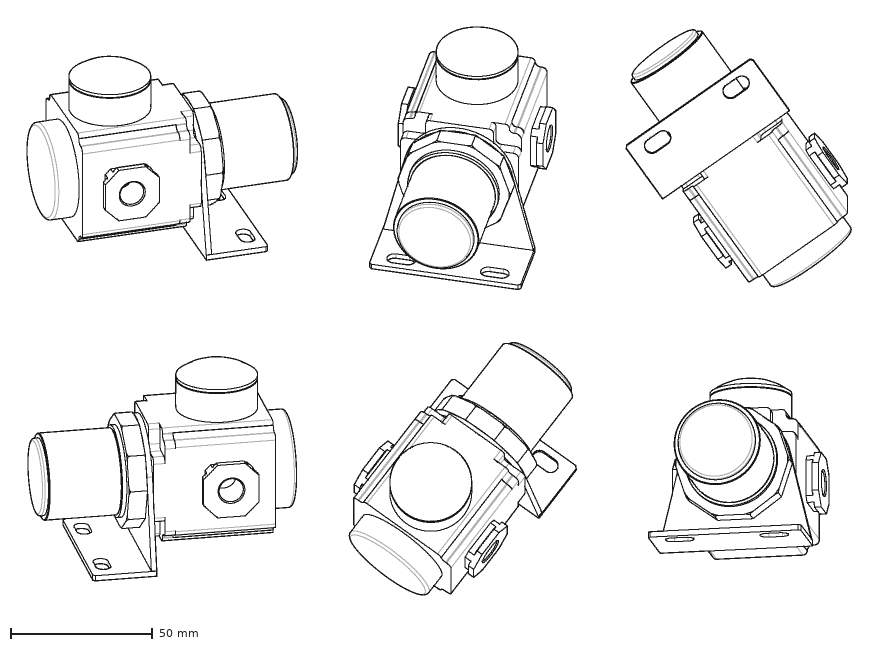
import cadquery as cq
import math


CAP_FRONT = -25.5
BODY_FRONT = -16.9
BONNET_FRONT = 19.2
STEP_FRONT = 23.0
PLATE_FRONT = 27.1
NUT_FRONT = 29.1
COLLAR_FRONT = 35.8
KNOB_FRONT = 37.3
BUTTON_FRONT = 63.5
BUTTON_BACK = 65.5

BODY_SIZE = 42.95
BODY_NOTCH_X = 17.1
BODY_NOTCH_Z = 18.0
STEP_NOTCH = 12.3
LIP_RADIUS = 1.55
BODY_ROOT_RADIUS = 2.0
BODY_CORNER_RADIUS = 2.0
BONNET_ROOT_RADIUS = 1.6
BONNET_CORNER_RADIUS = 2.3

CAP_DIAMETER = 35.0
CAP_FILLET = 1.0
COLLAR_DIAMETER = 32.9
KNOB_DIAMETER = 31.0
KNOB_CHAMFER = 0.3
BUTTON_DIAMETER = 27.7
BUTTON_FILLET = 0.8

NUT_SIDES = 10
NUT_CORNER_DIAMETER = 41.0
NUT_CHAMFER = 0.5

GAUGE_DIAMETER = 29.0
GAUGE_RIM_Z = 33.9
GAUGE_TOP_Z = 38.95
GAUGE_GROOVE_BELOW_RIM = 1.2
GAUGE_GROOVE_WIDTH = 0.3
GAUGE_GROOVE_DEPTH = 0.1

PORT_END_X = 26.3
PORT_SIZE = 20.0
PORT_CHAMFER = 5.0
PORT_FLANGE_THICKNESS = 2.4
PORT_NECK_SIZE = 17.0
PORT_HOLE_DIAMETER = 8.7
PORT_HOLE_CHAMFER = 0.5
PORT_HOLE_DEPTH = 13.65

BRACKET_WIDTH = 55.0
BRACKET_THICKNESS = NUT_FRONT - PLATE_FRONT
BRACKET_BOTTOM_Z = -30.0
BRACKET_TOP_RADIUS = 20.0
BRACKET_EDGE_ANGLE = 13.5
FOOT_DEPTH = 23.0
FOOT_CHAMFER = 0.8
SLOT_CENTRE_X = 17.0
SLOT_CENTRE_Y = 44.9
SLOT_LENGTH = 10.2
SLOT_WIDTH = 5.3


def plane_at(y):
    """XZ sketch plane at a given Y, extruding toward +Y (sketch x is -X, sketch y is Z)."""
    return cq.Plane(origin=(0, y, 0), xDir=(-1, 0, 0), normal=(0, 1, 0))


def disc(diameter, front, back):
    return cq.Workplane(plane_at(front)).circle(diameter / 2).extrude(back - front)


def notched_block(front, back, notch_x, notch_z, root_radius, corner_radius):
    """Square block whose four corners are stepped in to (notch_x, notch_z) with rounded edges."""
    depth = back - front
    tall = cq.Workplane(plane_at(front)).rect(2 * notch_x, BODY_SIZE).extrude(depth)
    tall = tall.edges("|Y").fillet(LIP_RADIUS)
    wide = cq.Workplane(plane_at(front)).rect(BODY_SIZE, 2 * notch_z).extrude(depth)
    wide = wide.edges("|Y").fillet(corner_radius)
    block = tall.union(wide)
    for side_x in (-1, 1):
        for side_z in (-1, 1):
            root = (
                cq.Workplane(plane_at(front))
                .center(-side_x * (notch_x + root_radius / 2), side_z * (notch_z + root_radius / 2))
                .rect(root_radius, root_radius)
                .extrude(depth)
            )
            relief = (
                cq.Workplane(plane_at(front))
                .center(-side_x * (notch_x + root_radius), side_z * (notch_z + root_radius))
                .circle(root_radius)
                .extrude(depth)
            )
            block = block.union(root.cut(relief))
    return block


def make_body():
    main = notched_block(
        BODY_FRONT, BONNET_FRONT, BODY_NOTCH_X, BODY_NOTCH_Z, BODY_ROOT_RADIUS, BODY_CORNER_RADIUS
    )
    bonnet = notched_block(
        BONNET_FRONT, STEP_FRONT, BODY_NOTCH_X, BODY_NOTCH_Z, BONNET_ROOT_RADIUS, BONNET_CORNER_RADIUS
    )
    step = notched_block(
        STEP_FRONT, PLATE_FRONT, STEP_NOTCH, STEP_NOTCH, BODY_ROOT_RADIUS, BODY_CORNER_RADIUS
    )
    return main.union(bonnet).union(step)


def make_cap():
    return disc(CAP_DIAMETER, CAP_FRONT, BODY_FRONT).faces("<Y").edges().fillet(CAP_FILLET)


def make_nut():
    depth = COLLAR_FRONT - NUT_FRONT
    nut = cq.Workplane(plane_at(NUT_FRONT)).polygon(NUT_SIDES, NUT_CORNER_DIAMETER).extrude(depth)
    envelope = disc(NUT_CORNER_DIAMETER, NUT_FRONT, COLLAR_FRONT).faces(">Y").chamfer(NUT_CHAMFER)
    return nut.intersect(envelope)


def make_knob():
    collar = disc(COLLAR_DIAMETER, COLLAR_FRONT, KNOB_FRONT)
    knob = disc(KNOB_DIAMETER, KNOB_FRONT, BUTTON_FRONT).edges().chamfer(KNOB_CHAMFER)
    button = disc(BUTTON_DIAMETER, BUTTON_FRONT, BUTTON_BACK).faces(">Y").edges().fillet(BUTTON_FILLET)
    return collar.union(knob).union(button)


def make_gauge():
    radius = GAUGE_DIAMETER / 2
    dome_height = GAUGE_TOP_Z - GAUGE_RIM_Z
    dome_radius = (radius**2 + dome_height**2) / (2 * dome_height)
    half_angle = math.asin(radius / dome_radius) / 2
    dome_mid = (
        dome_radius * math.sin(half_angle),
        GAUGE_TOP_Z - dome_radius * (1 - math.cos(half_angle)),
    )
    groove_top = GAUGE_RIM_Z - GAUGE_GROOVE_BELOW_RIM
    groove_bottom = groove_top - GAUGE_GROOVE_WIDTH
    groove_radius = radius - GAUGE_GROOVE_DEPTH
    return (
        cq.Workplane("XZ")
        .lineTo(radius, 0)
        .lineTo(radius, groove_bottom)
        .lineTo(groove_radius, groove_bottom)
        .lineTo(groove_radius, groove_top)
        .lineTo(radius, groove_top)
        .lineTo(radius, GAUGE_RIM_Z)
        .threePointArc(dome_mid, (0, GAUGE_TOP_Z))
        .close()
        .revolve(360, (0, 0), (0, 1))
    )


def make_ports():
    """Octagonal flanges at both X ends; grooves along the four flat sides leave a thinner neck."""
    flanges = cq.Workplane("XY").box(2 * PORT_END_X, PORT_SIZE, PORT_SIZE)
    flanges = flanges.edges("|X").chamfer(PORT_CHAMFER)
    inner_length = 2 * (PORT_END_X - PORT_FLANGE_THICKNESS)
    grooves = (
        cq.Workplane("XY")
        .box(inner_length, PORT_SIZE, PORT_SIZE)
        .cut(cq.Workplane("XY").box(inner_length, PORT_NECK_SIZE, PORT_NECK_SIZE))
    )
    return flanges.cut(grooves)


def make_port_hole():
    """Blind hole entering at the -X port, with a chamfered mouth."""
    mouth = cq.Workplane("YZ", origin=(-PORT_END_X, 0, 0))
    bore = mouth.circle(PORT_HOLE_DIAMETER / 2).extrude(PORT_HOLE_DEPTH)
    countersink = (
        mouth.circle(PORT_HOLE_DIAMETER / 2 + PORT_HOLE_CHAMFER)
        .workplane(offset=PORT_HOLE_CHAMFER)
        .circle(PORT_HOLE_DIAMETER / 2)
        .loft()
    )
    return bore.union(countersink)


def make_bracket():
    """Upright plate with sides tangent to its round top, standing on a slotted foot."""
    foot_top_z = BRACKET_BOTTOM_Z + BRACKET_THICKNESS
    angle = math.radians(BRACKET_EDGE_ANGLE)
    tangent_x = BRACKET_TOP_RADIUS * math.cos(angle)
    tangent_z = BRACKET_TOP_RADIUS * math.sin(angle)
    base_x = tangent_x + (tangent_z - foot_top_z) * math.tan(angle)
    plate = (
        cq.Workplane(plane_at(PLATE_FRONT))
        .moveTo(-base_x, foot_top_z)
        .lineTo(-tangent_x, tangent_z)
        .threePointArc((0, BRACKET_TOP_RADIUS), (tangent_x, tangent_z))
        .lineTo(base_x, foot_top_z)
        .close()
        .extrude(BRACKET_THICKNESS)
    )
    foot = (
        cq.Workplane("XY", origin=(0, PLATE_FRONT + FOOT_DEPTH / 2, BRACKET_BOTTOM_Z))
        .rect(BRACKET_WIDTH, FOOT_DEPTH)
        .extrude(BRACKET_THICKNESS)
        .edges("|Z and >Y")
        .chamfer(FOOT_CHAMFER)
    )
    slots = (
        cq.Workplane("XY", origin=(0, SLOT_CENTRE_Y, BRACKET_BOTTOM_Z))
        .pushPoints([(-SLOT_CENTRE_X, 0), (SLOT_CENTRE_X, 0)])
        .slot2D(SLOT_LENGTH, SLOT_WIDTH)
        .extrude(BRACKET_THICKNESS)
    )
    return plate.union(foot.cut(slots))


port_hole = make_port_hole()

result = (
    make_body()
    .union(make_cap())
    .union(make_ports())
    .union(make_gauge())
    .union(make_bracket())
    .union(make_nut())
    .union(make_knob())
    .cut(port_hole)
    .cut(port_hole.mirror("YZ"))
)